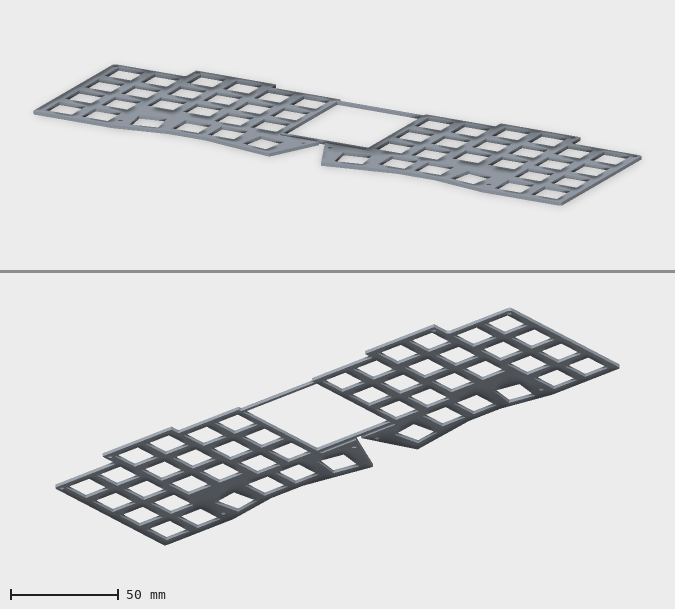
import cadquery as cq
import math


LENGTH = 279.05
WIDTH = 90.0
THICKNESS = 1.6

left_x = -LENGTH / 2
top_y = WIDTH / 2
bottom_y = -WIDTH / 2

OUTER_TOP_Y = 35.1
INNER_TOP_Y = 40.0
OUTER_BOTTOM_Y = -43.3
OUTER_STEP_X = -101.55
INNER_STEP_X = -59.3
WINDOW_HALF_WIDTH = 22.5
STEP_FILLET = 2.0
CORNER_FILLET = 1.25

KEY_PITCH = 19.05
SWITCH_SIZE = 14.0
FIRST_KEY_X = -128.16
TOP_KEY_Y = 34.3
STAGGER = KEY_PITCH / 4
COLUMN_PAIRS = [
    (0, 4, TOP_KEY_Y - 2 * STAGGER),
    (2, 3, TOP_KEY_Y),
    (4, 3, TOP_KEY_Y - STAGGER),
]

THUMB_TILT = 10.0
THUMB_Y = -27.6
THUMB_X = -64.0
OUTER_THUMB_X = -85.2
OUTER_THUMB_Y = -30.8
INNER_THUMB_X = -23.7
INNER_THUMB_Y = -32.25
THUMB_KEYS = [
    (OUTER_THUMB_X, OUTER_THUMB_Y, THUMB_TILT),
    (THUMB_X, THUMB_Y, 0.0),
    (THUMB_X + KEY_PITCH, THUMB_Y, 0.0),
    (INNER_THUMB_X, INNER_THUMB_Y, -THUMB_TILT),
]

TIP_X = -13.7
THUMB_FLAT_Y = -38.45
THUMB_FLAT_START_X = -70.2
tilt_slope = math.tan(math.radians(THUMB_TILT))
thumb_rise_x = THUMB_FLAT_START_X - (THUMB_FLAT_Y - OUTER_BOTTOM_Y) / tilt_slope
thumb_flat_end_x = TIP_X - (THUMB_FLAT_Y - bottom_y) / tilt_slope

SHELF_Y = -19.0
SHELF_END_X = -1.5

BAR_WIDTH = 1.6
UPPER_BAR_Y = 37.4
LOWER_BAR_Y = -16.4

HOLE_DIAMETER = 2.3
CORNER_HOLE_X = -137.1
CORNER_HOLE_Y = 32.8
TOP_HOLE_X = -99.1
TOP_HOLE_Y = 42.5
THUMB_HOLE_X = -97.3
THUMB_HOLE_Y = -35.7
TIP_HOLE_X = -6.95
TIP_HOLE_Y = -23.9
HOLE_POSITIONS = [
    (CORNER_HOLE_X, CORNER_HOLE_Y),
    (TOP_HOLE_X, TOP_HOLE_Y),
    (THUMB_HOLE_X, THUMB_HOLE_Y),
    (TIP_HOLE_X, TIP_HOLE_Y),
]


def half_outline():
    """Left half of the plate without any openings."""
    plate = (
        cq.Workplane("XY")
        .moveTo(left_x, OUTER_BOTTOM_Y)
        .lineTo(thumb_rise_x, OUTER_BOTTOM_Y)
        .lineTo(THUMB_FLAT_START_X, THUMB_FLAT_Y)
        .lineTo(thumb_flat_end_x, THUMB_FLAT_Y)
        .lineTo(TIP_X, bottom_y)
        .lineTo(SHELF_END_X, SHELF_Y)
        .lineTo(-WINDOW_HALF_WIDTH, SHELF_Y)
        .lineTo(-WINDOW_HALF_WIDTH, INNER_TOP_Y)
        .lineTo(INNER_STEP_X, INNER_TOP_Y)
        .lineTo(INNER_STEP_X, top_y)
        .lineTo(OUTER_STEP_X, top_y)
        .lineTo(OUTER_STEP_X, OUTER_TOP_Y)
        .lineTo(left_x, OUTER_TOP_Y)
        .close()
        .extrude(THICKNESS)
    )
    plate = plate.edges("|Z and <X").fillet(CORNER_FILLET)
    step_corner = cq.selectors.NearestToPointSelector((OUTER_STEP_X, OUTER_TOP_Y, THICKNESS / 2))
    return plate.edges("|Z").edges(step_corner).fillet(STEP_FILLET)


def switch_cutter(x, y, rotation=0.0):
    """Square prism that opens one switch cutout."""
    square = cq.Workplane("XY").rect(SWITCH_SIZE, SWITCH_SIZE).extrude(THICKNESS)
    return square.rotate((0, 0, 0), (0, 0, 1), rotation).translate((x, y, 0))


def cut_switches(plate):
    """Open the column keys and the thumb keys."""
    for first_column, rows, top_key_y in COLUMN_PAIRS:
        for column in (first_column, first_column + 1):
            for row in range(rows):
                x = FIRST_KEY_X + column * KEY_PITCH
                y = top_key_y - row * KEY_PITCH
                plate = plate.cut(switch_cutter(x, y))
    for x, y, rotation in THUMB_KEYS:
        plate = plate.cut(switch_cutter(x, y, rotation))
    return plate


def cut_mounting_holes(plate):
    """Drill the mounting holes through the plate."""
    holes = cq.Workplane("XY").pushPoints(HOLE_POSITIONS).circle(HOLE_DIAMETER / 2).extrude(THICKNESS)
    return plate.cut(holes)


def joining_bar(y):
    """Thin bar across the central window."""
    return cq.Workplane("XY").center(0, y).rect(2 * WINDOW_HALF_WIDTH, BAR_WIDTH).extrude(THICKNESS)


left_half = cut_mounting_holes(cut_switches(half_outline()))
right_half = left_half.mirror("YZ")
result = (
    left_half
    .union(joining_bar(UPPER_BAR_Y))
    .union(joining_bar(LOWER_BAR_Y))
    .union(right_half)
)